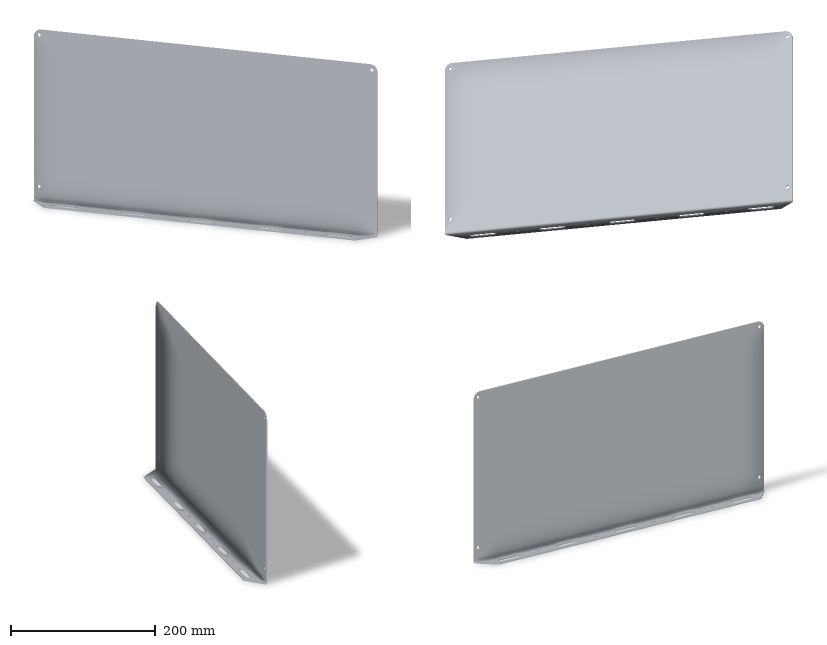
import cadquery as cq

length = 500.0
height = 249.5
depth = 26.5
thickness = 1.5
bend_inner_radius = 1.5
bend_outer_radius = bend_inner_radius + thickness

corner_radius = 10.0
plate_hole_diameter = 4.5
plate_hole_x = 242.5
plate_hole_top_inset = 8.0
plate_hole_spacing_z = 220.0

mitre_start = 2.5
slot_count = 5
slot_pitch = 100.0
slot_length = 37.5
slot_width = 7.5
flange_hole_diameter = 4.1
flange_hole_count = slot_count - 1
flange_row_y = -16.5


def bent_sheet():
    """L-shaped sheet: back face on Y = 0, underside on Z = 0, centred on X."""
    profile = (
        cq.Workplane("YZ")
        .moveTo(0, height)
        .lineTo(0, bend_outer_radius)
        .radiusArc((-bend_outer_radius, 0), bend_outer_radius)
        .lineTo(-depth, 0)
        .lineTo(-depth, thickness)
        .lineTo(-bend_outer_radius, thickness)
        .radiusArc((-thickness, bend_outer_radius), -bend_inner_radius)
        .lineTo(-thickness, height)
        .close()
    )
    return profile.extrude(length / 2, both=True)


def round_top_corners(sheet):
    """Round the two upper corners of the plate."""
    return sheet.edges("|Y").edges(">Z").fillet(corner_radius)


def flange_mitre(side):
    """45 degree end cut, from within the bend to the front edge of the flange."""
    end_x = side * length / 2
    run = depth - mitre_start
    outline = [(end_x, -mitre_start), (end_x, -depth), (end_x - side * run, -depth)]
    return cq.Workplane("XY").polyline(outline).close().extrude(bend_outer_radius)


def flange_row(count):
    """Evenly pitched points along the flange, centred on X = 0."""
    first_x = -slot_pitch * (count - 1) / 2
    points = [(first_x + i * slot_pitch, flange_row_y) for i in range(count)]
    return cq.Workplane("XY").pushPoints(points)


def flange_slots():
    return flange_row(slot_count).slot2D(slot_length, slot_width).extrude(thickness)


def flange_holes():
    """Small holes midway between neighbouring slots."""
    return flange_row(flange_hole_count).circle(flange_hole_diameter / 2).extrude(thickness)


def plate_holes():
    """Two holes near each side edge of the plate."""
    upper_z = height - plate_hole_top_inset
    lower_z = upper_z - plate_hole_spacing_z
    points = [(x, z) for x in (-plate_hole_x, plate_hole_x) for z in (lower_z, upper_z)]
    return (
        cq.Workplane("XZ")
        .pushPoints(points)
        .circle(plate_hole_diameter / 2)
        .extrude(thickness)
    )


result = round_top_corners(bent_sheet())
for side in (-1, 1):
    result = result.cut(flange_mitre(side))
result = result.cut(flange_slots()).cut(flange_holes()).cut(plate_holes())